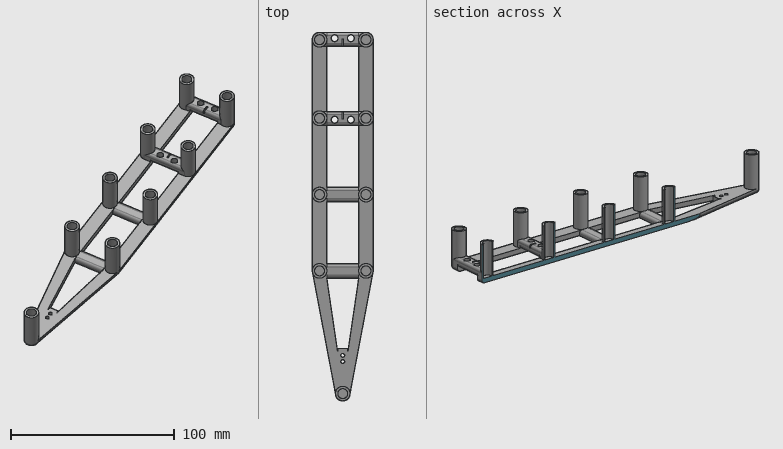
import cadquery as cq
import math

post_radius = 4.5
post_bore_diameter = 6.0
post_half_spacing = 14.2
post_top = 26.0
overall_length = 225.0
row_gaps = (75.0, 46.5, 46.5)

plate_thickness = 3.4
edge_radius = 2.0
half_width = post_half_spacing + post_radius
opening_half_width = 9.7
nose_opening_half_width = 3.2
nose_opening_end = 26.0
lug_half_width = 3.0
lug_end = 27.7
nose_hole_diameter = 2.2
nose_hole_places = (19.5, 23.5)

low_bar_width = 2 * post_radius
raised_bar_width = 8.5
low_bar_rounding = 2.0
raised_bar_rounding = 1.8
raised_bar_top = 8.8
raised_bar_height = raised_bar_top - plate_thickness
bar_hole_diameter = 4.0
bar_hole_half_spacing = 5.0
bar_hole_shift = 0.7
notch_width = 1.0
notch_length = 4.5
notch_depth = 2.0

taper_row = row_gaps[0]
third_row = taper_row + row_gaps[1]
second_row = third_row + row_gaps[2]
tail_row = overall_length - 2 * post_radius
pair_rows = (taper_row, third_row, second_row, tail_row)
post_places = [(0, 0)] + [(side * post_half_spacing, row) for row in pair_rows for side in (-1, 1)]


def outline(height):
    """Solid of the outer plan shape, from the round nose to the rounded tail corners."""
    tail_end = tail_row + post_radius
    corner = post_radius * math.sqrt(0.5)
    return (
        cq.Workplane("XY")
        .moveTo(-post_radius, 0)
        .threePointArc((0, -post_radius), (post_radius, 0))
        .lineTo(half_width, taper_row)
        .lineTo(half_width, tail_row)
        .threePointArc((post_half_spacing + corner, tail_row + corner), (post_half_spacing, tail_end))
        .lineTo(-post_half_spacing, tail_end)
        .threePointArc((-post_half_spacing - corner, tail_row + corner), (-half_width, tail_row))
        .lineTo(-half_width, taper_row)
        .close()
        .extrude(height)
    )


def frame():
    """Plate with its posts and a rounded bottom rim, opened between the side rails."""
    above_plate = cq.Workplane("XY").workplane(offset=plate_thickness)
    clearance = above_plate.rect(2 * overall_length, 3 * overall_length).extrude(post_top)
    clearance = clearance.cut(above_plate.pushPoints(post_places).circle(post_radius).extrude(post_top))
    plate = outline(post_top).faces("<Z").edges().fillet(edge_radius).cut(clearance)
    opening_start = taper_row - post_radius
    opening = (
        cq.Workplane("XY")
        .moveTo(-opening_half_width, opening_start)
        .lineTo(-nose_opening_half_width, nose_opening_end)
        .lineTo(nose_opening_half_width, nose_opening_end)
        .lineTo(opening_half_width, opening_start)
        .lineTo(opening_half_width, overall_length)
        .lineTo(-opening_half_width, overall_length)
        .close()
        .extrude(plate_thickness)
    )
    lug = cq.Workplane("XY").box(2 * lug_half_width, 2 * lug_end, 2 * plate_thickness)
    opening = opening.cut(lug)
    holes = (
        cq.Workplane("XY")
        .pushPoints([(0, place) for place in nose_hole_places])
        .circle(nose_hole_diameter / 2)
        .extrude(plate_thickness)
    )
    return plate.cut(opening).cut(holes)


def low_bar(row):
    """Cross bar level with the plate, with rounded upper edges."""
    return (
        cq.Workplane("XY")
        .box(2 * opening_half_width, low_bar_width, plate_thickness, centered=(True, True, False))
        .edges("|X and >Z")
        .fillet(low_bar_rounding)
        .translate((0, row, 0))
    )


def raised_bar(row, notch_side):
    """Rounded cross bar on feet over the rails, notched on the +Y (1) or -Y (-1) side.

    The opposite side is flush with the outside of the posts.
    """
    blank = cq.Workplane("XY").box(
        2 * post_half_spacing, raised_bar_width, raised_bar_height, centered=(True, True, False)
    )
    feet = blank.edges("|X and >Z").fillet(raised_bar_rounding)
    gap = cq.Workplane("XY").box(2 * opening_half_width, overall_length, post_top)
    bar = blank.edges("|X").fillet(raised_bar_rounding).union(feet.cut(gap))

    holes = (
        cq.Workplane("XY")
        .pushPoints([(side * bar_hole_half_spacing, -notch_side * bar_hole_shift) for side in (-1, 1)])
        .circle(bar_hole_diameter / 2)
        .extrude(raised_bar_height)
    )
    notch = cq.Workplane("XY").box(notch_width, notch_length, 2 * notch_depth)
    notch = notch.translate((0, notch_side * (raised_bar_width - notch_length) / 2, raised_bar_height))
    centre = row - notch_side * (post_radius - raised_bar_width / 2)
    return bar.cut(holes).cut(notch).translate((0, centre, plate_thickness))


body = frame()
for row in (taper_row, third_row):
    body = body.union(low_bar(row))
body = body.union(raised_bar(second_row, 1))
body = body.union(raised_bar(tail_row, -1))

bores = cq.Workplane("XY").workplane(offset=plate_thickness).pushPoints(post_places)
result = body.cut(bores.circle(post_bore_diameter / 2).extrude(post_top))